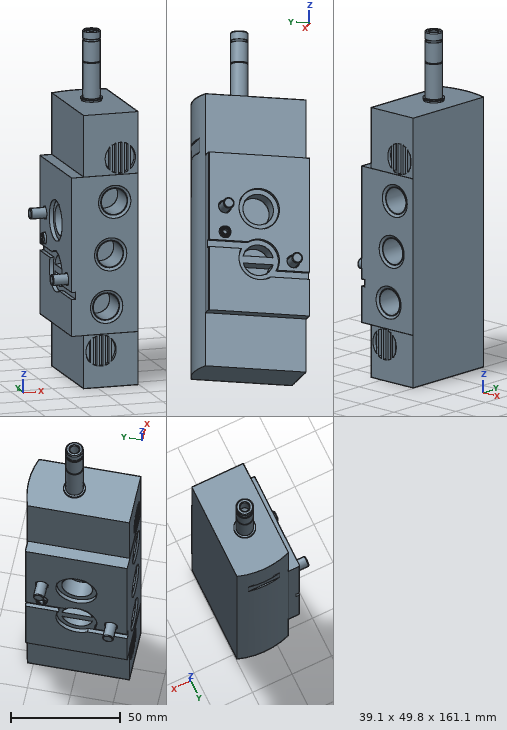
import cadquery as cq
import math

BLOCK_WIDTH = 31.9
BLOCK_CORNER_CHAMFER = 0.5
CORNER_Y = 47.5
CROWN_Y = 49.8
BLOCK_BOTTOM = 25.0
BLOCK_HEIGHT = 74.3
BLOCK_TOP = BLOCK_BOTTOM + BLOCK_HEIGHT
BLOCK_MID = BLOCK_BOTTOM + BLOCK_HEIGHT / 2

CAP_LEFT = 5.8
CAP_FRONT = 0.2
TOP_CAP_TOP = 128.0

BACK_FLAT_Y = 49.0
BACK_FLAT_BOTTOM = 101.7
BACK_FLAT_HEIGHT = 6.6

FRONT_PORT_X = 18.7
FRONT_PORT_STEP_X = 2.0
FRONT_PORT_STEP_Z = 24.5
FRONT_PORT_DIAMETER = 12.2
FRONT_PORT_MOUTH_DIAMETER = 15.5
FRONT_PORT_CONE_END_DIAMETER = 12.9
FRONT_PORT_CONE_DEPTH = 0.8
FRONT_PORT_DEPTH = 14.5

PATTERN_Y = 23.7
PORT_OFFSET_Z = 12.0
SCREW_OFFSET_Y = 16.1
SIDE_PORT_DIAMETER = 14.3
SIDE_PORT_DEPTH = 8.0
SEAL_DIAMETER = 19.0
SEAL_DEPTH = 2.0
BAR_WIDTH = 3.4
GROOVE_WIDTH = 3.4
GROOVE_OFFSET_Z = 6.3

VENT_DIAMETER = 14.5
VENT_SLOT_WIDTH = 1.6
VENT_PITCH = 2.9
VENT_SLOTS = 5
VENT_DEPTH = 2.0
VENT_CENTRES = [(23.4, 107.0), (14.2, 17.2)]

TUBE_X = 18.7
TUBE_Y = 28.4
TUBE_TOP = 161.1
TUBE_DIAMETER = 8.0
TUBE_CHAMFER = 0.5
COLLAR_DIAMETER = 9.2
COLLAR_TOP = 128.9
FLANGE_DIAMETER = 10.0
FLANGE_TOP = 129.5
CLIP_GROOVE_DIAMETER = 7.1
CLIP_GROOVE_BOTTOM = 156.3
CLIP_GROOVE_WIDTH = 1.0
MARK_GROOVE_DIAMETER = 7.7
MARK_GROOVE_BOTTOM = 146.1
MARK_GROOVE_WIDTH = 0.5
TUBE_HOLE_DIAMETER = 4.2
TUBE_HOLE_MOUTH_DIAMETER = 5.0
TUBE_HOLE_DEPTH = 8.0
DRILL_POINT_ANGLE = 118.0

SCREW_DIAMETER = 5.0
SCREW_TIP_DIAMETER = 4.2
SCREW_CHAMFER = (SCREW_DIAMETER - SCREW_TIP_DIAMETER) / 2
SCREW_CLEARANCE_DIAMETER = 6.0
SCREW_DEPTH = 24.2
SCREW_PROJECTION = 7.2
SET_SCREW_CLEARANCE_DIAMETER = 5.5
SET_SCREW_DEPTH = 8.0
SET_SCREW_PROJECTION = 1.5
SOCKET_DIAMETER = 2.4
SOCKET_MOUTH_DIAMETER = 3.2
SOCKET_DEPTH = 2.5
COUNTERSINK_ANGLE = 90.0

UPPER_PORT_Z = BLOCK_MID + PORT_OFFSET_Z
LOWER_PORT_Z = BLOCK_MID - PORT_OFFSET_Z
SCREW_CENTRES = [(PATTERN_Y + SCREW_OFFSET_Y, UPPER_PORT_Z), (PATTERN_Y - SCREW_OFFSET_Y, LOWER_PORT_Z)]
SET_SCREW_CENTRE = (PATTERN_Y + SCREW_OFFSET_Y, BLOCK_MID)


def rod_along_x(centre, diameter, start_x, end_x):
    """Round rod parallel to X, centred on a (Y, Z) point."""
    return (
        cq.Workplane("YZ", origin=(start_x, *centre))
        .circle(diameter / 2)
        .extrude(end_x - start_x)
    )


def box_between(low, high):
    """Box between two opposite corners."""
    size = [b - a for a, b in zip(low, high)]
    return cq.Workplane("XY").box(*size, centered=False).translate(low)


def crowned_prism(left, front, bottom, top):
    """Upright prism whose back bulges in an arc over the width of the end caps."""
    arc_middle = ((CAP_LEFT + BLOCK_WIDTH) / 2, CROWN_Y)
    outline = cq.Workplane("XY", origin=(0, 0, bottom)).moveTo(left, front).lineTo(left, CORNER_Y)
    if left < CAP_LEFT:
        outline = outline.lineTo(CAP_LEFT, CORNER_Y)
    outline = outline.threePointArc(arc_middle, (BLOCK_WIDTH, CORNER_Y)).lineTo(BLOCK_WIDTH, front)
    return outline.close().extrude(top - bottom)


def end_cap(bottom, top):
    return crowned_prism(CAP_LEFT, CAP_FRONT, bottom, top)


def back_flat():
    """Cutter for the flat across the back of the top cap."""
    return box_between(
        (CAP_LEFT, BACK_FLAT_Y, BACK_FLAT_BOTTOM),
        (BLOCK_WIDTH, CROWN_Y, BACK_FLAT_BOTTOM + BACK_FLAT_HEIGHT),
    )


def front_port(x, z):
    """Cutter for a front port: a conical mouth, then a blind bore."""
    profile = [
        (0, 0),
        (FRONT_PORT_MOUTH_DIAMETER / 2, 0),
        (FRONT_PORT_CONE_END_DIAMETER / 2, FRONT_PORT_CONE_DEPTH),
        (FRONT_PORT_DIAMETER / 2, FRONT_PORT_CONE_DEPTH),
        (FRONT_PORT_DIAMETER / 2, FRONT_PORT_DEPTH),
        (0, FRONT_PORT_DEPTH),
    ]
    port = cq.Workplane("XY").polyline(profile).close().revolve(360, (0, 0), (0, 1))
    return port.translate((x, 0, z))


def side_port(z):
    """Cutter for a side port: a wide seal recess, then a blind bore."""
    centre = (PATTERN_Y, z)
    recess = rod_along_x(centre, SEAL_DIAMETER, 0, SEAL_DEPTH)
    return recess.union(rod_along_x(centre, SIDE_PORT_DIAMETER, 0, SEAL_DEPTH + SIDE_PORT_DEPTH))


def port_bar():
    """Bar across the lower port, level with the floor of its seal recess."""
    return box_between(
        (SEAL_DEPTH, PATTERN_Y - SIDE_PORT_DIAMETER / 2, LOWER_PORT_Z - BAR_WIDTH / 2),
        (SEAL_DEPTH + SIDE_PORT_DEPTH, PATTERN_Y + SIDE_PORT_DIAMETER / 2, LOWER_PORT_Z + BAR_WIDTH / 2),
    )


def groove(z, edge_y):
    """Cutter for a groove running from the lower seal recess to a Y edge of the block."""
    reach = math.sqrt((SEAL_DIAMETER / 2) ** 2 - (GROOVE_OFFSET_Z + GROOVE_WIDTH / 2) ** 2)
    start_y = PATTERN_Y + math.copysign(reach, edge_y - PATTERN_Y)
    low_y, high_y = sorted((start_y, edge_y))
    return box_between((0, low_y, z - GROOVE_WIDTH / 2), (SEAL_DEPTH, high_y, z + GROOVE_WIDTH / 2))


def vent(x, z):
    """Cutter for a round grille of upright slots."""
    disc = (
        cq.Workplane("XZ", origin=(x, CAP_FRONT, z))
        .circle(VENT_DIAMETER / 2)
        .extrude(-VENT_DEPTH)
    )
    fin_width = VENT_PITCH - VENT_SLOT_WIDTH
    fins = (
        cq.Workplane("XZ", origin=(x, CAP_FRONT, z))
        .rarray(VENT_PITCH, 1.6, VENT_SLOTS - 1, 1)
        .rect(fin_width, VENT_DIAMETER)
        .extrude(-VENT_DEPTH)
    )
    return disc.cut(fins)


def armature_tube():
    """Turned tube on the top cap, with two grooves and a blind hole in its end."""
    tube_r = TUBE_DIAMETER / 2
    clip_r = CLIP_GROOVE_DIAMETER / 2
    clip_top = CLIP_GROOVE_BOTTOM + CLIP_GROOVE_WIDTH
    mark_r = MARK_GROOVE_DIAMETER / 2
    mark_top = MARK_GROOVE_BOTTOM + MARK_GROOVE_WIDTH
    hole_r = TUBE_HOLE_DIAMETER / 2
    mouth_r = TUBE_HOLE_MOUTH_DIAMETER / 2
    hole_bottom = TUBE_TOP - TUBE_HOLE_DEPTH
    drill_point = hole_r / math.tan(math.radians(DRILL_POINT_ANGLE / 2))
    profile = [
        (0, TOP_CAP_TOP),
        (COLLAR_DIAMETER / 2, TOP_CAP_TOP),
        (COLLAR_DIAMETER / 2, COLLAR_TOP),
        (FLANGE_DIAMETER / 2, COLLAR_TOP),
        (FLANGE_DIAMETER / 2, FLANGE_TOP),
        (tube_r, FLANGE_TOP),
        (tube_r, MARK_GROOVE_BOTTOM),
        (mark_r, MARK_GROOVE_BOTTOM),
        (mark_r, mark_top),
        (tube_r, mark_top),
        (tube_r, CLIP_GROOVE_BOTTOM),
        (clip_r, CLIP_GROOVE_BOTTOM),
        (clip_r, clip_top),
        (tube_r, clip_top),
        (tube_r, TUBE_TOP - TUBE_CHAMFER),
        (tube_r - TUBE_CHAMFER, TUBE_TOP),
        (mouth_r, TUBE_TOP),
        (hole_r, TUBE_TOP - (mouth_r - hole_r)),
        (hole_r, hole_bottom),
        (0, hole_bottom - drill_point),
    ]
    tube = cq.Workplane("XZ").polyline(profile).close().revolve(360, (0, 0), (0, 1))
    return tube.translate((TUBE_X, TUBE_Y, 0))


def make_valve():
    """Valve housing: block, end caps and armature tube in one piece."""
    valve = crowned_prism(0, 0, BLOCK_BOTTOM, BLOCK_TOP)
    valve = valve.faces("<X").edges(">Y").chamfer(BLOCK_CORNER_CHAMFER)
    valve = valve.union(end_cap(0, BLOCK_BOTTOM)).union(end_cap(BLOCK_TOP, TOP_CAP_TOP))
    valve = valve.union(armature_tube()).cut(back_flat())

    for step in (-1, 0, 1):
        x = FRONT_PORT_X + step * FRONT_PORT_STEP_X
        z = BLOCK_MID + step * FRONT_PORT_STEP_Z
        valve = valve.cut(front_port(x, z))

    valve = valve.cut(side_port(UPPER_PORT_Z)).cut(side_port(LOWER_PORT_Z).cut(port_bar()))
    valve = valve.cut(groove(LOWER_PORT_Z + GROOVE_OFFSET_Z, CORNER_Y))
    valve = valve.cut(groove(LOWER_PORT_Z - GROOVE_OFFSET_Z, 0))

    for x, z in VENT_CENTRES:
        valve = valve.cut(vent(x, z))

    for centre in SCREW_CENTRES:
        valve = valve.cut(rod_along_x(centre, SCREW_CLEARANCE_DIAMETER, 0, SCREW_DEPTH))
    return valve.cut(rod_along_x(SET_SCREW_CENTRE, SET_SCREW_CLEARANCE_DIAMETER, 0, SET_SCREW_DEPTH))


def make_mounting_screw(centre):
    """Screw shank resting on the floor of its clearance hole."""
    shank = rod_along_x(centre, SCREW_DIAMETER, -SCREW_PROJECTION, SCREW_DEPTH)
    return shank.faces("<X").chamfer(SCREW_CHAMFER)


def make_set_screw():
    """Headless screw with a countersunk socket in its outer end."""
    outer_x = -SET_SCREW_PROJECTION
    screw = rod_along_x(SET_SCREW_CENTRE, SCREW_DIAMETER, outer_x, SET_SCREW_DEPTH)
    screw = screw.faces("<X").chamfer(SCREW_CHAMFER)
    socket_plane = screw.faces("<X").workplane(centerOption="CenterOfMass")
    return socket_plane.cskHole(SOCKET_DIAMETER, SOCKET_MOUTH_DIAMETER, COUNTERSINK_ANGLE, depth=SOCKET_DEPTH)


valve = make_valve()
mounting_screws = [make_mounting_screw(centre) for centre in SCREW_CENTRES]
set_screw = make_set_screw()

result = cq.Compound.makeCompound(
    [valve.val(), *[screw.val() for screw in mounting_screws], set_screw.val()]
)